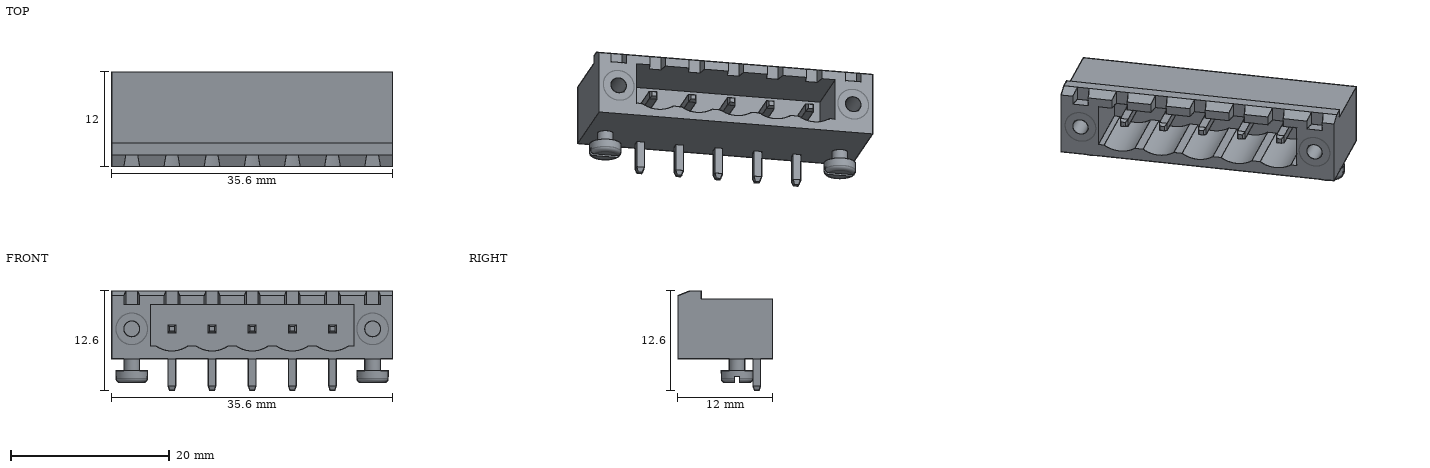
import cadquery as cq

pole_count = 5
pitch = 5.08
pole_xs = [(i - (pole_count - 1) / 2) * pitch for i in range(pole_count)]
flange_xs = [pole_xs[0] - pitch, pole_xs[-1] + pitch]

housing_length = (pole_count + 2) * pitch
housing_depth = 12.0
housing_height = 8.6
lip_depth = 3.0
lip_height = 1.0
bevel_depth = 1.5
bevel_height = 0.6

cavity_length = 25.8
cavity_depth = 8.5
cavity_floor = 1.6
cavity_ceiling = 6.9
scallop_width = 4.0
scallop_depth = 0.6

notch_front_width = 2.0
notch_back_width = 1.5
notch_depth = bevel_depth

pin_size = 1.0
pin_tip_size = 0.6
pin_tip_length = 0.6
pin_height = 3.8
pin_tip_y = 2.0
pin_leg_y = 10.0
pin_leg_length = 4.0

bushing_diameter = 4.0
bushing_bore = 2.0
bushing_length = 5.0

screw_y = 7.5
shank_diameter = 2.0
shank_length = 1.5
head_diameter = 4.0
head_height = 1.5
head_fillet = 0.5
screw_slot_width = 0.6
screw_slot_depth = 0.75


def make_housing():
    """Extrude the side profile with its raised, bevelled front lip."""
    shoulder = housing_height - lip_height
    profile = [
        (0, 0),
        (housing_depth, 0),
        (housing_depth, shoulder),
        (lip_depth, shoulder),
        (lip_depth, housing_height),
        (bevel_depth, housing_height),
        (0, housing_height - bevel_height),
    ]
    return cq.Workplane("YZ").polyline(profile).close().extrude(housing_length / 2, both=True)


def make_cavity():
    """Plug cavity whose floor dips in one arc below each pole."""
    half_length = cavity_length / 2
    outline = cq.Workplane("XZ").moveTo(-half_length, cavity_floor)
    for x in pole_xs:
        outline = outline.lineTo(x - scallop_width / 2, cavity_floor)
        outline = outline.threePointArc(
            (x, cavity_floor - scallop_depth),
            (x + scallop_width / 2, cavity_floor),
        )
    outline = outline.lineTo(half_length, cavity_floor)
    outline = outline.lineTo(half_length, cavity_ceiling)
    outline = outline.lineTo(-half_length, cavity_ceiling)
    return outline.close().extrude(-cavity_depth)


def make_notch(x):
    """Coding notch, open at the top and front and narrower at the back."""
    plan = [
        (x - notch_front_width / 2, 0),
        (x + notch_front_width / 2, 0),
        (x + notch_back_width / 2, notch_depth),
        (x - notch_back_width / 2, notch_depth),
    ]
    return (
        cq.Workplane("XY", origin=(0, 0, cavity_ceiling))
        .polyline(plan)
        .close()
        .extrude(housing_height - cavity_ceiling)
    )


def make_pin_arm(start, direction, length):
    """Square bar that starts at a point and ends in a tapered tip."""
    plane = cq.Plane(origin=start, xDir=(1, 0, 0), normal=direction)
    shaft_length = length - pin_tip_length
    shaft = cq.Workplane(plane).rect(pin_size, pin_size).extrude(shaft_length)
    tip = (
        cq.Workplane(plane)
        .workplane(offset=shaft_length)
        .rect(pin_size, pin_size)
        .workplane(offset=pin_tip_length)
        .rect(pin_tip_size, pin_tip_size)
        .loft()
    )
    return shaft.union(tip)


def make_pin(x):
    """Right-angled contact with a mating arm and a solder leg."""
    half_size = pin_size / 2
    arm_start = pin_leg_y + half_size
    leg_start = pin_height + half_size
    arm = make_pin_arm((x, arm_start, pin_height), (0, -1, 0), arm_start - pin_tip_y)
    leg = make_pin_arm((x, pin_leg_y, leg_start), (0, 0, -1), leg_start + pin_leg_length)
    return arm.union(leg)


def make_screw(x):
    """Slotted screw that hangs below the housing."""
    head = (
        cq.Workplane("XY", origin=(x, screw_y, -shank_length))
        .circle(head_diameter / 2)
        .extrude(-head_height)
        .faces("<Z")
        .edges()
        .fillet(head_fillet)
    )
    slot = (
        cq.Workplane("XY", origin=(x, screw_y, -shank_length - head_height))
        .rect(head_diameter, screw_slot_width)
        .extrude(screw_slot_depth)
    )
    shank = (
        cq.Workplane("XY", origin=(x, screw_y, -shank_length))
        .circle(shank_diameter / 2)
        .extrude(shank_length)
    )
    return head.cut(slot).union(shank)


def make_front_cylinder(x, diameter):
    """Cylinder along Y that enters the mating face at pin height."""
    return (
        cq.Workplane("XZ", origin=(x, 0, pin_height))
        .circle(diameter / 2)
        .extrude(-bushing_length)
    )


result = make_housing().cut(make_cavity())

for notch_x in [flange_xs[0], *pole_xs, flange_xs[1]]:
    result = result.cut(make_notch(notch_x))

for pole_x in pole_xs:
    result = result.union(make_pin(pole_x))

for flange_x in flange_xs:
    result = result.union(make_screw(flange_x))

for flange_x in flange_xs:
    seat = make_front_cylinder(flange_x, bushing_diameter)
    bore = make_front_cylinder(flange_x, bushing_bore)
    result = result.cut(seat, clean=False).union(seat.cut(bore), clean=False)